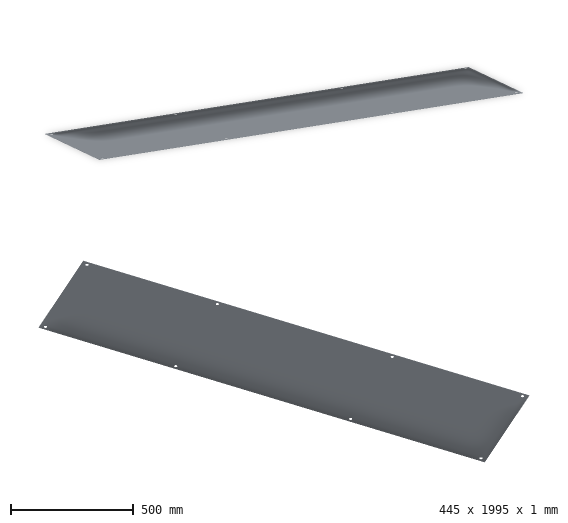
import cadquery as cq

length = 1995
width = 445.0
thickness = 1.0

hole_diameter = 13.0
edge_margin_x = 15.0
edge_margin_y = 24.0
inner_row_spacing = 782.0

column_x = width / 2 - edge_margin_x
outer_row_y = length / 2 - edge_margin_y
inner_row_y = inner_row_spacing / 2

hole_centres = [
    (x, y)
    for x in (-column_x, column_x)
    for y in (-outer_row_y, -inner_row_y, inner_row_y, outer_row_y)
]

plate = cq.Workplane("XY").box(width, length, thickness)
result = plate.faces(">Z").workplane().pushPoints(hole_centres).hole(hole_diameter)